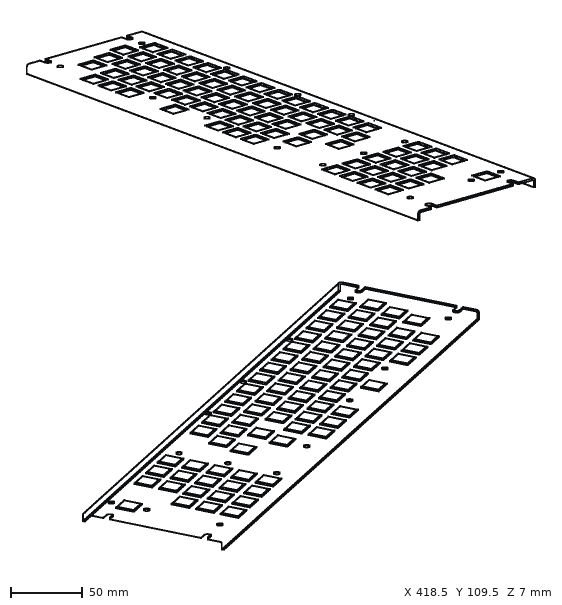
import cadquery as cq

length = 418.5
width = 109.5
height = 7.0
thickness = 1.5
bend_radius = 2.5

main_row_span = 228.5
main_row_keys = 13
pitch = main_row_span / (main_row_keys - 1)
web_between_keys = 5.0
cutout = pitch - web_between_keys
first_key_x = -178.0
top_row_y = 36.5

main_rows = [
    [(0, main_row_keys)],
    [(-0.5, 14)],
    [(-0.25, 11), (11.25, 1), (12.75, 1)],
    [(0, 1), (1.25, 10), (11.5, 1)],
    [(1.25, 3), (5.75, 1), (8.25, 3)],
]

pad_x = 104.3
pad_row_keys = [3, 3, 4, 4, 4]

lone_key_x = 184.0
lone_key_y = 31.0
lone_screw_offset = 14.0

screw_diameter = 4.0
upper_screw_y = 46.0
upper_screw_x = [-111.0, -34.8, 22.5]
side_screw_y = top_row_y
bottom_screw_y = top_row_y - (len(main_rows) - 1) * pitch
spacebar_screw_y = -34.8
spacebar_screw_x = [-97.0, -39.5]
middle_screw_x = 41.5
left_screw_x = -190.5
pad_screw_x = 90.5

slot_width = 5.0
slot_depth = 8.0


def folded_sheet():
    """Channel-shaped sheet with rounded bends, open at the bottom."""
    outer = (
        cq.Workplane("XY")
        .box(length, width, height, centered=(True, True, False))
        .edges("|X and >Z")
        .fillet(bend_radius)
    )
    inner = (
        cq.Workplane("XY")
        .box(length, width - 2 * thickness, height - thickness, centered=(True, True, False))
        .edges("|X and >Z")
        .fillet(bend_radius - thickness)
    )
    return outer.cut(inner)


def key_centers():
    """Centres of all the switch cutouts."""
    centers = [(lone_key_x, lone_key_y)]
    for row, runs in enumerate(main_rows):
        y = top_row_y - row * pitch
        for start, count in runs:
            centers += [(first_key_x + (start + i) * pitch, y) for i in range(count)]
    for row, count in enumerate(pad_row_keys):
        y = top_row_y - row * pitch
        centers += [(pad_x + i * pitch, y) for i in range(count)]
    return centers


screw_centers = [
    *[(x, upper_screw_y) for x in upper_screw_x],
    (left_screw_x, side_screw_y),
    (left_screw_x, bottom_screw_y),
    *[(x, spacebar_screw_y) for x in spacebar_screw_x],
    (middle_screw_x, bottom_screw_y),
    (pad_screw_x, side_screw_y),
    (pad_screw_x, (side_screw_y + bottom_screw_y) / 2),
    (pad_screw_x, bottom_screw_y),
    (lone_key_x, lone_key_y + lone_screw_offset),
    (lone_key_x, lone_key_y - lone_screw_offset),
    (lone_key_x, bottom_screw_y),
]

slot_centers = [
    (x, y) for x in (-length / 2, length / 2) for y in (side_screw_y, bottom_screw_y)
]

keys = cq.Workplane("XY").pushPoints(key_centers()).rect(cutout, cutout).extrude(height)
screws = cq.Workplane("XY").pushPoints(screw_centers).circle(screw_diameter / 2).extrude(height)
slots = cq.Workplane("XY").pushPoints(slot_centers).slot2D(2 * slot_depth, slot_width).extrude(height)

result = folded_sheet().cut(keys).cut(screws).cut(slots)